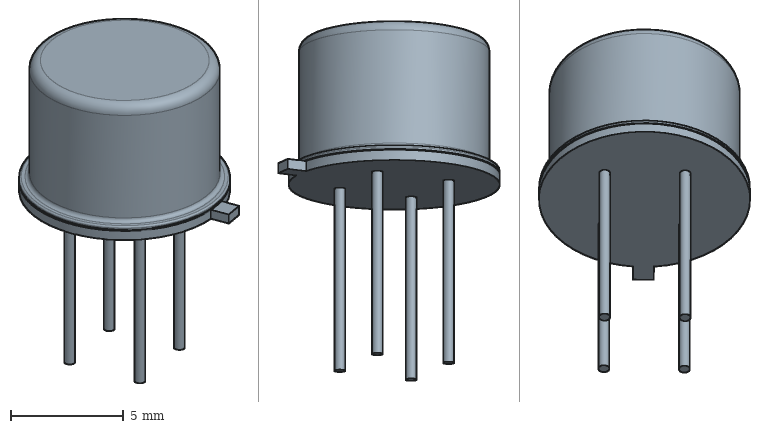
import cadquery as cq
import math

total_height = 14.9

header_radius = 9.4 / 2
header_base_z = 8.33
header_thickness = 0.5
header_edge_radius = 0.05
tab_reach = 5.59
tab_width = 0.94
tab_thickness = header_thickness - header_edge_radius
tab_angle = 45.0

cap_radius = 4.25
cap_top_radius = 0.49
flange_radius = header_radius
flange_thickness = 0.2
flange_edge_radius = 0.09
flare_radius = 0.2

lead_diameter = 0.49
lead_circle_radius = 2.53
lead_count = 4
lead_angles = [index * 360.0 / lead_count for index in range(lead_count)]

header_top_z = header_base_z + header_thickness
flange_top_z = header_top_z + flange_thickness


def make_header():
    """Disc with a rounded top edge and a radial tab on the straight part of its rim."""
    disc = (
        cq.Workplane("XY")
        .workplane(offset=header_base_z)
        .circle(header_radius)
        .extrude(header_thickness)
        .faces(">Z")
        .edges()
        .fillet(header_edge_radius)
    )
    tab = (
        cq.Workplane("XY")
        .box(tab_reach, tab_width, tab_thickness, centered=(False, True, False))
        .rotate((0, 0, 0), (0, 0, 1), tab_angle)
        .translate((0, 0, header_base_z))
    )
    return disc.union(tab)


def make_cap():
    """Revolved can: rounded top edge, concave flare at its foot and a rounded flange rim."""
    diagonal = math.sqrt(0.5)
    top_center = (cap_radius - cap_top_radius, total_height - cap_top_radius)
    flare_center = (cap_radius + flare_radius, flange_top_z + flare_radius)
    edge_center = (flange_radius - flange_edge_radius, flange_top_z - flange_edge_radius)

    def arc_middle(center, radius, side):
        return (center[0] + side * diagonal * radius, center[1] + side * diagonal * radius)

    profile = (
        cq.Workplane("XZ")
        .moveTo(0, header_top_z)
        .lineTo(flange_radius, header_top_z)
        .lineTo(flange_radius, edge_center[1])
        .threePointArc(arc_middle(edge_center, flange_edge_radius, 1), (edge_center[0], flange_top_z))
        .lineTo(flare_center[0], flange_top_z)
        .threePointArc(arc_middle(flare_center, flare_radius, -1), (cap_radius, flare_center[1]))
        .lineTo(cap_radius, top_center[1])
        .threePointArc(arc_middle(top_center, cap_top_radius, 1), (top_center[0], total_height))
        .lineTo(0, total_height)
        .close()
    )
    return profile.revolve(360, (0, 0, 0), (0, 1, 0))


def make_lead(angle):
    """Straight round lead that ends at the underside of the header."""
    x = lead_circle_radius * math.cos(math.radians(angle))
    y = lead_circle_radius * math.sin(math.radians(angle))
    return cq.Workplane("XY").center(x, y).circle(lead_diameter / 2).extrude(header_base_z)


header = make_header()
cap = make_cap()
leads = [make_lead(angle) for angle in lead_angles]

result = cq.Compound.makeCompound([header.val(), cap.val(), *[lead.val() for lead in leads]])